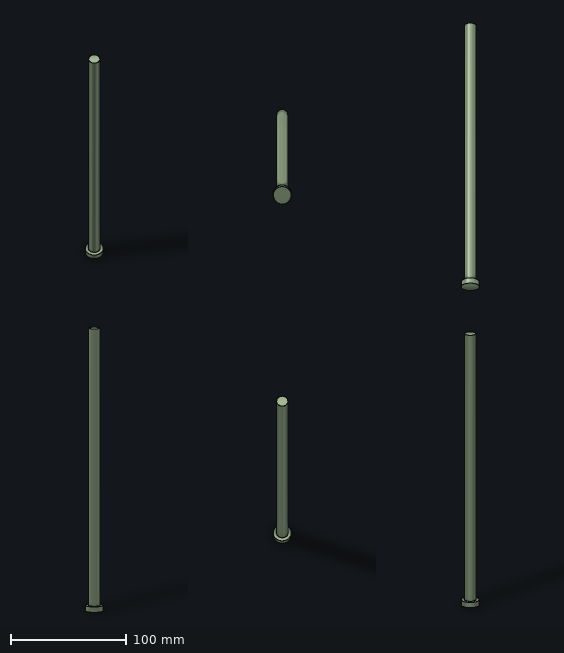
import cadquery as cq

total_length = 250.0
head_diameter = 16.0
head_height = 5.0
shank_diameter = 10.0

head = cq.Workplane("XY").circle(head_diameter / 2).extrude(head_height)
shank = cq.Workplane("XY").circle(shank_diameter / 2).extrude(total_length)

result = head.union(shank)